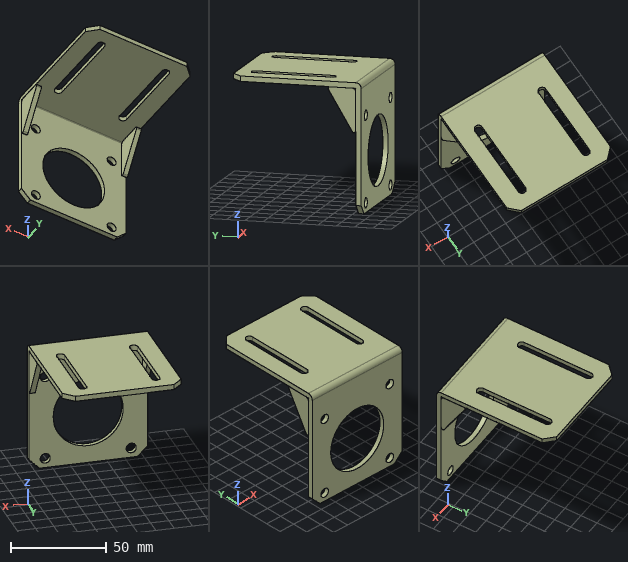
import cadquery as cq

width = 65.15
leg = 71.5
thickness = 3.0
inner_bend_radius = 0.3
outer_bend_radius = 3.0
corner_chamfer = 5.6

bore_diameter = 38.2
bore_drop = 42.6
screw_pitch = 47.05
screw_diameter = 5.35

slot_spacing = 40.05
slot_width = 4.35
slot_length = 46.1
slot_end_margin = 7.95

gusset_thickness = thickness
gusset_reach = 15.9
gusset_drop = 26.7
gusset_tip_radius = 1.0
gusset_inner_radius = 2.0



def make_bracket():
    profile = (
        cq.Workplane("YZ")
        .polyline([
            (0, 0),
            (leg, 0),
            (leg, -thickness),
            (thickness, -thickness),
            (thickness, -leg),
            (0, -leg),
        ])
        .close()
    )
    bracket = profile.extrude(width / 2, both=True)
    bracket = bracket.edges("|X and <Y and >Z").fillet(outer_bend_radius)
    inner_edge = cq.selectors.NearestToPointSelector((0, thickness, -thickness))
    bracket = bracket.edges(inner_edge).fillet(inner_bend_radius)

    bracket = bracket.faces(">Y").edges("|Z").chamfer(corner_chamfer)
    bracket = bracket.faces("<Z").edges("|Y").chamfer(corner_chamfer)
    return bracket.cut(make_motor_holes()).cut(make_slots())


def make_motor_holes():
    """Cutters for the central bore and the four screw holes."""
    mount = cq.Workplane("XZ").center(0, -bore_drop)
    bore = mount.circle(bore_diameter / 2).extrude(-thickness)
    screws = (
        mount.rarray(screw_pitch, screw_pitch, 2, 2)
        .circle(screw_diameter / 2)
        .extrude(-thickness)
    )
    return bore.add(screws).combine()


def make_slots():
    """Cutters for the two slots running along Y."""
    slot_middle = leg - slot_end_margin - slot_length / 2
    return (
        cq.Workplane("XY")
        .pushPoints([(side * slot_spacing / 2, slot_middle) for side in (-1, 1)])
        .slot2D(slot_length, slot_width, 90)
        .extrude(-thickness)
    )


def make_gusset(x_start):
    """One gusset, from x_start towards +X: a right triangle with rounded corners."""
    triangle = (
        cq.Workplane("YZ", origin=(x_start, thickness, -thickness))
        .polyline([(0, 0), (gusset_reach, 0), (0, -gusset_drop)])
        .close()
        .extrude(gusset_thickness)
    )
    gusset = triangle.edges("|X and <Y and >Z").fillet(gusset_inner_radius)
    return gusset.edges("|X and (>Y or <Z)").fillet(gusset_tip_radius)


bracket = make_bracket()
gussets = [make_gusset(x_start) for x_start in (-width / 2, width / 2 - gusset_thickness)]

result = cq.Compound.makeCompound([bracket.val(), *[gusset.val() for gusset in gussets]])